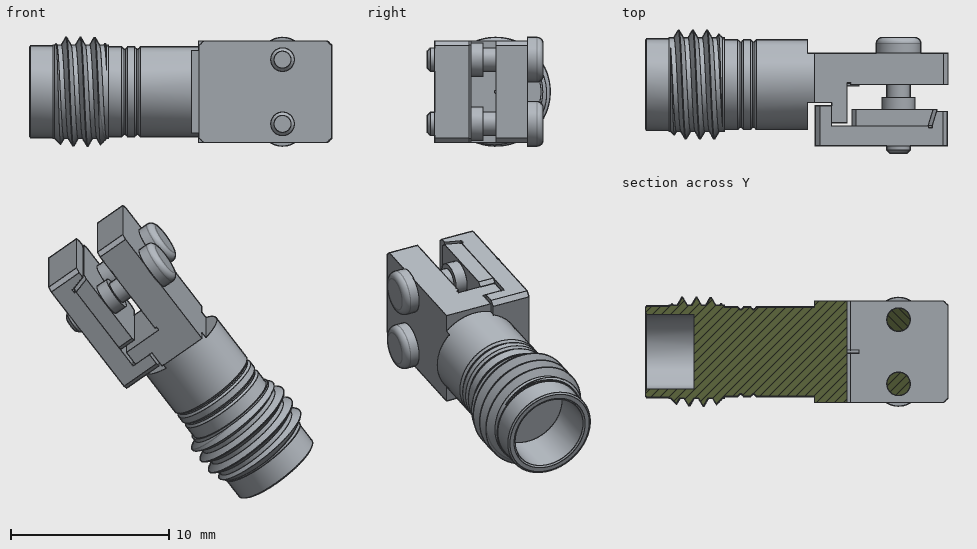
import cadquery as cq
import math


barrel_radius = 2.85
front_radius = 2.91
front_end = 1.5
mouth_chamfer = 0.11
mouth_chamfer_length = 0.08
bore_radius = 2.4
bore_depth = 3.07
barrel_end = 10.27

thread_radius = 3.45
thread_root_radius = 2.97
thread_end = 5.0
thread_pitch = 0.9
thread_crest_width = 0.05
flank_angle = 30.0
thread_start_x = 0.3
thread_turns = 6
thread_root_overlap = 0.05
envelope_clearance = 0.2

groove_centers = (6.04, 6.84)
groove_width = 0.38
groove_floor_width = 0.1
groove_depth = 0.15

block_start = 10.7
block_end = 19.16
block_back = 2.0
block_front = -1.13
half_height = 3.22
corner_chamfer = 0.29
tongue_start = 11.78
tongue_end = 12.76
tongue_tip = -2.41
relief_width = 0.23
relief_depth = 0.11

jaw_start = 10.75
jaw_end = 19.1
jaw_hook_top = -1.32
jaw_floor = -2.6
jaw_lip_top = -1.69
jaw_back = -3.87

plate_start = 13.07
plate_foot_end = 18.15
plate_top = -1.57
plate_chamfer = 0.25
slant_angle = 17.0
slant = math.tan(math.radians(slant_angle))

screw_x = 16.02
screw_z = 2.03
screw_radius = 0.75
collar_radius = 1.05
collar_top = -0.8
head_radius = 1.42
head_top = 2.99
head_fillet = 0.4
screw_tip = -4.35
tip_chamfer = 0.21

pin_radius = 0.1
pin_end = 13.53


def slab(outline):
    """Prism of an XY outline over the full clamp height."""
    return cq.Workplane("XY").polyline(outline).close().extrude(half_height, both=True)


def box_between(x_range, y_range, half_z):
    """Box between X and Y limits, centred on Z = 0."""
    return (
        cq.Workplane("XY")
        .moveTo(x_range[0], y_range[0])
        .lineTo(x_range[1], y_range[0])
        .lineTo(x_range[1], y_range[1])
        .lineTo(x_range[0], y_range[1])
        .close()
        .extrude(half_z, both=True)
    )


def revolve_about_x(outline):
    """Solid of revolution about X from (x, radius) points."""
    return cq.Workplane("XY").polyline(outline).close().revolve(360, (0, 0, 0), (1, 0, 0))


def make_barrel():
    barrel = revolve_about_x([
        (0, 0),
        (0, front_radius - mouth_chamfer),
        (mouth_chamfer_length, front_radius),
        (front_end, front_radius),
        (front_end, thread_root_radius),
        (thread_end, thread_root_radius),
        (thread_end, barrel_radius),
        (block_start, barrel_radius),
        (block_start, 0),
    ])
    for center in groove_centers:
        barrel = barrel.cut(make_ring_groove(center))
    reach = 2 * barrel_radius
    flat_span = (barrel_end, block_start)
    barrel = barrel.cut(box_between(flat_span, (block_back, reach), reach))
    return barrel.cut(box_between(flat_span, (-reach, block_front), reach))


def make_ring_groove(center):
    floor_radius = barrel_radius - groove_depth
    return revolve_about_x([
        (center - groove_width / 2, barrel_radius),
        (center - groove_floor_width / 2, floor_radius),
        (center + groove_floor_width / 2, floor_radius),
        (center + groove_width / 2, barrel_radius),
    ])


def make_thread():
    """Helical ridge, bevelled at 45 degrees at both ends."""
    base_radius = thread_root_radius - thread_root_overlap
    ridge_height = thread_radius - base_radius
    half_crest = thread_crest_width / 2
    half_base = half_crest + ridge_height * math.tan(math.radians(flank_angle))
    helix = cq.Wire.makeHelix(thread_pitch, thread_turns * thread_pitch, base_radius)
    ridge = (
        cq.Workplane("XZ")
        .polyline([
            (base_radius, -half_base),
            (thread_radius, -half_crest),
            (thread_radius, half_crest),
            (base_radius, half_base),
        ])
        .close()
        .sweep(cq.Workplane(obj=helix), isFrenet=True)
        .rotate((0, 0, 0), (1, 1, 1), 120)
        .translate((thread_start_x, 0, 0))
    )
    outer_radius = thread_radius + envelope_clearance
    inner_radius = base_radius - envelope_clearance
    bevel = outer_radius - barrel_radius
    envelope = revolve_about_x([
        (front_end, inner_radius),
        (front_end, barrel_radius),
        (front_end + bevel, outer_radius),
        (thread_end - bevel, outer_radius),
        (thread_end, barrel_radius),
        (thread_end, inner_radius),
    ])
    return ridge.intersect(envelope)


def make_bore():
    return revolve_about_x([
        (0, 0),
        (0, bore_radius + mouth_chamfer),
        (mouth_chamfer_length, bore_radius),
        (bore_depth, bore_radius),
        (bore_depth, 0),
    ])


def make_block():
    block = slab([
        (block_start, block_back),
        (block_end, block_back),
        (block_end, 0),
        (tongue_end + relief_width, 0),
        (tongue_end + relief_width, relief_depth),
        (tongue_end, relief_depth),
        (tongue_end, tongue_tip),
        (tongue_start, tongue_tip),
        (tongue_start, block_front),
        (block_start, block_front),
    ])
    return block.edges("|Y and >X").chamfer(corner_chamfer)


def make_housing():
    housing = make_barrel().union(make_thread()).union(make_block())
    return housing.cut(make_bore())


def make_jaw():
    lip_foot = plate_foot_end
    lip_edge = lip_foot + (jaw_lip_top - jaw_floor) * slant
    relief_floor = jaw_floor - relief_depth
    jaw = slab([
        (jaw_start, jaw_back),
        (jaw_start, jaw_hook_top),
        (tongue_start, jaw_hook_top),
        (tongue_start, jaw_floor),
        (lip_foot - relief_width, jaw_floor),
        (lip_foot - relief_width, relief_floor),
        (lip_foot, relief_floor),
        (lip_foot, jaw_floor),
        (lip_edge, jaw_lip_top),
        (jaw_end, jaw_lip_top),
        (jaw_end, jaw_back),
    ])
    return jaw.edges("|Y and (<X or >X)").chamfer(corner_chamfer)


def make_plate():
    plate = slab([
        (plate_start, jaw_floor),
        (plate_start, plate_top),
        (plate_foot_end + (plate_top - jaw_floor) * slant, plate_top),
        (plate_foot_end, jaw_floor),
    ])
    plate = plate.edges("|Y and <X").chamfer(plate_chamfer)
    return plate.faces(">X").edges("not |Z").chamfer(plate_chamfer)


def make_screw(z):
    """Screw along Y with its head on the block, a collar on the plate and its tip past the jaw."""
    screw = (
        cq.Workplane("XY")
        .polyline([
            (0, screw_tip),
            (screw_radius - tip_chamfer, screw_tip),
            (screw_radius, screw_tip + tip_chamfer),
            (screw_radius, plate_top),
            (collar_radius, plate_top),
            (collar_radius, collar_top),
            (screw_radius, collar_top),
            (screw_radius, block_back),
            (head_radius, block_back),
            (head_radius, head_top),
            (0, head_top),
        ])
        .close()
        .revolve(360, (0, 0, 0), (0, 1, 0))
        .faces(">Y")
        .edges()
        .fillet(head_fillet)
    )
    return screw.translate((screw_x, 0, z))


def make_pin():
    """Contact pin on the barrel axis, set into the tongue."""
    return cq.Workplane("YZ", origin=(tongue_start, 0, 0)).circle(pin_radius).extrude(pin_end - tongue_start)


pin = make_pin()
screws = [make_screw(z) for z in (-screw_z, screw_z)]
housing = make_housing().cut(pin)
jaw = make_jaw()
plate = make_plate()
for screw in screws:
    housing = housing.cut(screw)
    jaw = jaw.cut(screw)
    plate = plate.cut(screw)

result = cq.Compound.makeCompound([
    housing.val(),
    jaw.val(),
    plate.val(),
    pin.val(),
    *[screw.val() for screw in screws],
])